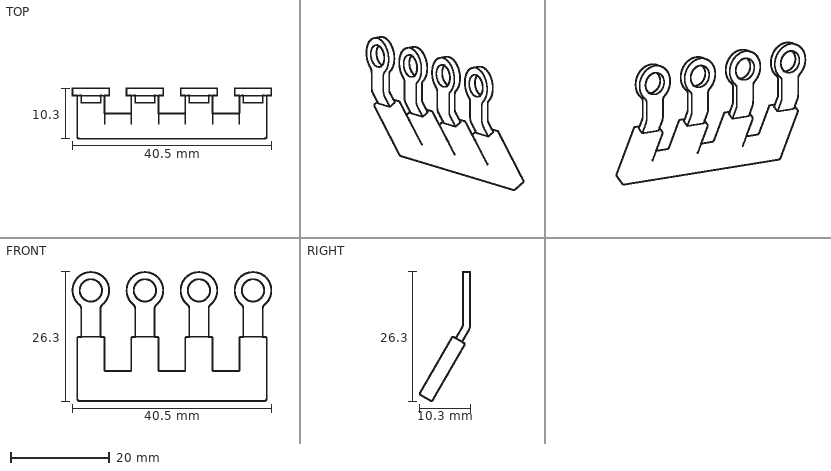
import cadquery as cq
import math

terminal_count = 4
pitch = 11.0

ring_diameter = 7.5
hole_diameter = 4.5
stem_width = 4.0
neck_fillet = 1.0
strip_thickness = 1.5
ring_to_bend = 6.96

tilt = 30.0
bend_inner_radius = 1.0
exposed_strip = 2.62
strip_embedment = 1.0

finger_width = 5.6
body_thickness = 3.0
body_height = 13.6
slot_depth = 8.0
body_fillet = 0.3
slot_corner_radius = 0.2
lower_corner_radius = 0.5

span = (terminal_count - 1) * pitch
terminal_xs = [index * pitch - span / 2 for index in range(terminal_count)]
body_width = span + finger_width
slot_width = pitch - finger_width
tilt_sin = math.sin(math.radians(tilt))
tilt_cos = math.cos(math.radians(tilt))
bend_mid_radius = bend_inner_radius + strip_thickness / 2
bend_end_y = -bend_mid_radius * (1 - tilt_cos)
bend_end_z = -ring_to_bend - bend_mid_radius * tilt_sin

tilted_plane = cq.Plane(
    origin=(0, bend_end_y, bend_end_z),
    xDir=(1, 0, 0),
    normal=(0, -tilt_cos, tilt_sin),
)


def make_upright_lug():
    """Ring with its hole and stem, centred on the XZ plane."""
    half_thickness = strip_thickness / 2
    ring = cq.Workplane("XZ").circle(ring_diameter / 2).extrude(half_thickness, both=True)
    stem = (
        cq.Workplane("XZ")
        .center(0, -ring_to_bend / 2)
        .rect(stem_width, ring_to_bend)
        .extrude(half_thickness, both=True)
    )
    neck_z = -math.sqrt((ring_diameter / 2) ** 2 - (stem_width / 2) ** 2)
    neck_edges = cq.selectors.BoxSelector(
        (-stem_width, -strip_thickness, neck_z - neck_fillet),
        (stem_width, strip_thickness, neck_z + neck_fillet),
    )
    lug = ring.union(stem).edges("|Y").edges(neck_edges).fillet(neck_fillet)
    hole = cq.Workplane("XZ").circle(hole_diameter / 2).extrude(strip_thickness, both=True)
    return lug.cut(hole)


def make_bend():
    """Arc of strip that turns the stem into the tilted direction."""
    return (
        cq.Workplane("XY", origin=(0, 0, -ring_to_bend))
        .rect(stem_width, strip_thickness)
        .revolve(tilt, (0, -bend_mid_radius, 0), (-1, -bend_mid_radius, 0))
    )


def make_tilted_strip():
    length = exposed_strip + strip_embedment
    return (
        cq.Workplane(tilted_plane)
        .center(0, -length / 2)
        .rect(stem_width, length)
        .extrude(strip_thickness / 2, both=True)
    )


def make_body():
    """Rounded comb with one finger per terminal, drawn flat and then tilted."""
    body = (
        cq.Workplane("XY")
        .center(0, -exposed_strip - body_height / 2)
        .box(body_width, body_height, body_thickness)
    )
    for terminal_x in terminal_xs[:-1]:
        slot = (
            cq.Workplane("XY")
            .center(terminal_x + pitch / 2, -exposed_strip - slot_depth / 2)
            .box(slot_width, slot_depth, body_thickness)
        )
        body = body.cut(slot)
    slot_floor_y = -exposed_strip - slot_depth
    slot_floor_zone = cq.selectors.BoxSelector(
        (-span / 2, slot_floor_y - body_fillet, -body_thickness),
        (span / 2, slot_floor_y + body_fillet, body_thickness),
    )
    body = body.edges("|Z").edges(slot_floor_zone).fillet(slot_corner_radius)
    body = body.edges("|Z and <Y").fillet(lower_corner_radius)
    finger_top_corners = body.edges("|Z and >Y")
    body = body.faces("|Z").edges().add(finger_top_corners).fillet(body_fillet)
    return cq.Workplane(body.val().moved(cq.Location(tilted_plane)))


terminal = make_upright_lug().union(make_bend(), clean=False).union(make_tilted_strip(), clean=False)
result = make_body()
for terminal_x in terminal_xs:
    result = result.union(terminal.translate((terminal_x, 0, 0)), clean=False)